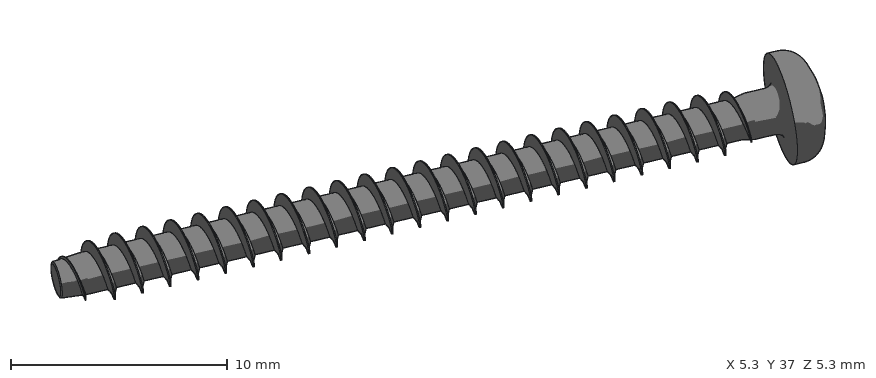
import cadquery as cq
import math


head_radius = 5.3 / 2
head_height = 1.97
rim_height = 0.48
shoulder_radius = 1.15

shank_length = 35.0
neck_radius = 1.1
neck_length = 1.5
neck_fillet = 0.5
neck_taper = 0.6
core_radius = 0.98
tip_radius = 0.87
tip_taper = 1.3
tip_chamfer_radial = 0.1
tip_chamfer_axial = 0.05

thread_radius = 1.5
pitch = 1.34
turn_zero_y = -32.65
full_start_turn = -0.25
full_end_turn = 22.25
full_spans = 15
tip_runout_turns = 1.45
head_runout_turns = 1.1
tip_runout_height = 0.1
head_runout_height = 0.42
crest_half_width = 0.03
flank_kink_radius = 1.2
flank_kink_half_width = 0.09
root_radius = 0.8
root_half_width = 0.3
points_per_turn = 16


def point_on_circle(center, radius, angle):
    return (center[0] + radius * math.cos(angle), center[1] + radius * math.sin(angle))


def make_body():
    """Revolve the head, neck, core and tip in one profile about Y."""
    shoulder_center = (head_radius - shoulder_radius, rim_height)
    crown_rise = head_height - rim_height
    dome_radius = (shoulder_center[0] ** 2 + crown_rise**2 - shoulder_radius**2) / (
        2 * (crown_rise - shoulder_radius)
    )
    dome_center = (0, head_height - dome_radius)
    join_angle = math.acos(shoulder_center[0] / (dome_radius - shoulder_radius))
    dome_mid_angle = (math.pi / 2 + join_angle) / 2
    fillet_center = (neck_radius + neck_fillet, -neck_fillet)

    profile = (
        cq.Workplane("XY")
        .moveTo(0, head_height)
        .threePointArc(
            point_on_circle(dome_center, dome_radius, dome_mid_angle),
            point_on_circle(dome_center, dome_radius, join_angle),
        )
        .threePointArc(
            point_on_circle(shoulder_center, shoulder_radius, join_angle / 2),
            (head_radius, rim_height),
        )
        .lineTo(head_radius, 0)
        .lineTo(neck_radius + neck_fillet, 0)
        .threePointArc(
            point_on_circle(fillet_center, neck_fillet, math.radians(135)),
            (neck_radius, -neck_fillet),
        )
        .lineTo(neck_radius, -neck_length)
        .lineTo(core_radius, -neck_length - neck_taper)
        .lineTo(core_radius, -shank_length + tip_taper)
        .lineTo(tip_radius, -shank_length + tip_chamfer_axial)
        .lineTo(tip_radius - tip_chamfer_radial, -shank_length)
        .lineTo(0, -shank_length)
        .close()
    )
    return profile.revolve(360, (0, 0, 0), (0, 1, 0))


def thread_edge(radius, offset, start_turn, start_height, end_turn, end_height):
    """One helical edge of the thread; the height shares scale its section about the root."""
    count = math.ceil((end_turn - start_turn) * points_per_turn)
    points = []
    for i in range(count + 1):
        fraction = i / count
        turn = start_turn + (end_turn - start_turn) * fraction
        height = start_height + (end_height - start_height) * fraction
        angle = 2 * math.pi * turn
        r = root_radius + (radius - root_radius) * height
        y = turn_zero_y + pitch * turn + offset * height
        points.append(cq.Vector(r * math.cos(angle), y, -r * math.sin(angle)))
    return cq.Edge.makeSpline(points)


def make_cap(edges, position):
    """A flat face across the thread at the start (0) or end (1) of its edges."""
    corners = [edge.positionAt(position) for edge in edges]
    return cq.Face.makeFromWires(cq.Wire.makePolygon(corners, close=True))


def make_thread():
    """One closed solid: tip runout, full-height turns and head runout, built span by span."""
    section = [
        (root_radius, -root_half_width),
        (flank_kink_radius, -flank_kink_half_width),
        (thread_radius, -crest_half_width),
        (thread_radius, crest_half_width),
        (flank_kink_radius, flank_kink_half_width),
        (root_radius, root_half_width),
    ]
    span_turns = (full_end_turn - full_start_turn) / full_spans
    stations = [(full_start_turn - tip_runout_turns, tip_runout_height)]
    stations += [(full_start_turn + i * span_turns, 1) for i in range(full_spans + 1)]
    stations.append((full_end_turn + head_runout_turns, head_runout_height))

    spans = [
        [thread_edge(radius, offset, *start, *end) for radius, offset in section]
        for start, end in zip(stations, stations[1:])
    ]
    faces = [make_cap(spans[0], 0), make_cap(spans[-1], 1)]
    for edges in spans:
        faces += [cq.Face.makeRuledSurface(a, b) for a, b in zip(edges, edges[1:] + edges[:1])]
    shell = cq.Shell.makeShell(faces)
    return cq.Workplane(cq.Solid.makeSolid(shell))


result = make_body().union(make_thread())